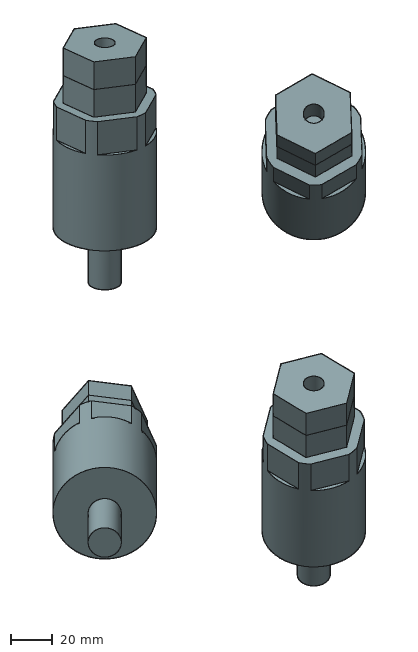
import cadquery as cq
import math

stem_length = 30.0
barrel_length = 52.0
collar_height = 18.0
hex_height = 15.0

stem_diameter = 16.0
barrel_diameter = 50.0
collar_across_flats = 46.0
hex_across_flats = 36.0
bore_diameter = 10.0

hex_sides = 6
half_side_angle = 180.0 / hex_sides

barrel_bottom = stem_length
collar_bottom = barrel_bottom + barrel_length
collar_top = collar_bottom + collar_height
nut_bottom = collar_top + hex_height


def cylinder(diameter, bottom, height):
    return cq.Workplane("XY").workplane(offset=bottom).circle(diameter / 2).extrude(height)


def hexagon(across_flats, bottom, height):
    """Hexagonal prism with two of its flats facing -X and +X."""
    across_corners = across_flats / math.cos(math.radians(half_side_angle))
    prism = cq.Workplane("XY").workplane(offset=bottom).polygon(hex_sides, across_corners).extrude(height)
    return prism.rotate((0, 0, 0), (0, 0, 1), half_side_angle)


def make_collar():
    """Full-diameter collar with six wrench flats cut into its side."""
    blank = cylinder(barrel_diameter, collar_bottom, collar_height)
    return blank.intersect(hexagon(collar_across_flats, collar_bottom, collar_height))


def make_housing():
    """Stem, barrel, wrench collar and lower hexagon in one piece."""
    stem = cylinder(stem_diameter, 0, stem_length)
    barrel = cylinder(barrel_diameter, barrel_bottom, barrel_length)
    lower_hexagon = hexagon(hex_across_flats, collar_top, hex_height)
    return stem.union(barrel).union(make_collar()).union(lower_hexagon)


def make_nut():
    """Hexagonal nut on top of the housing, with a bore right through it."""
    blank = hexagon(hex_across_flats, nut_bottom, hex_height)
    return blank.cut(cylinder(bore_diameter, nut_bottom, hex_height))


housing = make_housing()
nut = make_nut()

result = cq.Compound.makeCompound([housing.val(), nut.val()])